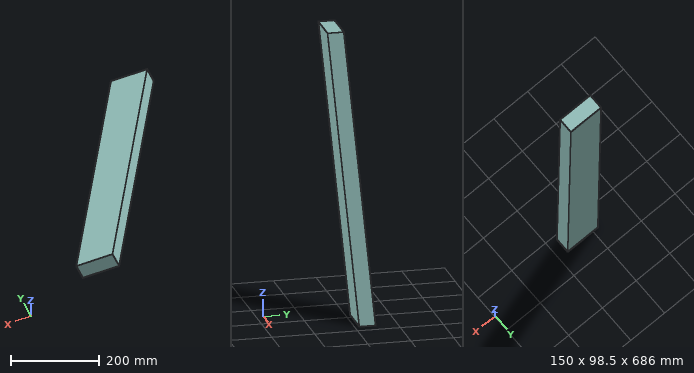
import cadquery as cq

height = 686.0
width = 90.0
depth = 38.5
lean = 60.0


def slanted_face(points):
    return cq.Face.makeFromWires(cq.Wire.makePolygon(points, close=True))


def end_corners(x, y, z):
    return [
        cq.Vector(x, y, z),
        cq.Vector(x + width, y, z),
        cq.Vector(x + width, y + depth, z),
        cq.Vector(x, y + depth, z),
    ]


bottom = end_corners(lean, lean, 0)
top = end_corners(0, 0, height)
sides = [
    slanted_face([bottom[i - 1], bottom[i], top[i], top[i - 1]]) for i in range(4)
]
faces = [slanted_face(bottom), slanted_face(top)] + sides
result = cq.Workplane(cq.Solid.makeSolid(cq.Shell.makeShell(faces)))